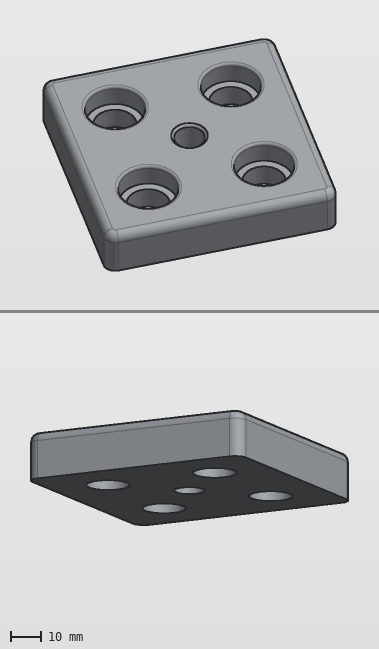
import cadquery as cq

side = 80.0
thickness = 16.0
corner_radius = 4.0
top_edge_radius = 3.0

hole_spacing = side / 2
screw_hole_diameter = 14.6
counterbore_diameter = 20.0
counterbore_depth = thickness / 2
counterbore_rim_radius = 1.0

center_hole_diameter = 10.2
center_chamfer = 1.0


def make_plate():
    """Plate standing on Z = 0 with rounded corners and a rounded top rim."""
    plate = cq.Workplane("XY").box(side, side, thickness, centered=(True, True, False))
    plate = plate.edges("|Z").fillet(corner_radius)
    return plate.faces(">Z").edges().fillet(top_edge_radius)


def cut_screw_holes(plate):
    """Counterbored through holes with a rounded rim at the top face."""
    drilled = (
        plate.faces(">Z")
        .workplane(origin=(0, 0, thickness))
        .rarray(hole_spacing, hole_spacing, 2, 2)
        .cboreHole(screw_hole_diameter, counterbore_diameter, counterbore_depth)
    )
    return drilled.faces(">Z").edges("%CIRCLE").fillet(counterbore_rim_radius)


def cut_center_hole(plate):
    """Through hole in the middle with a countersunk mouth at the top face."""
    mouth_depth = center_chamfer
    mouth_diameter = center_hole_diameter + 2 * center_chamfer
    mouth = cq.Solid.makeCone(
        center_hole_diameter / 2,
        mouth_diameter / 2,
        mouth_depth,
        pnt=cq.Vector(0, 0, thickness - mouth_depth),
    )
    through_hole = cq.Workplane("XY").circle(center_hole_diameter / 2).extrude(thickness)
    return plate.cut(through_hole).cut(cq.Workplane(mouth))


result = cut_center_hole(cut_screw_holes(make_plate()))